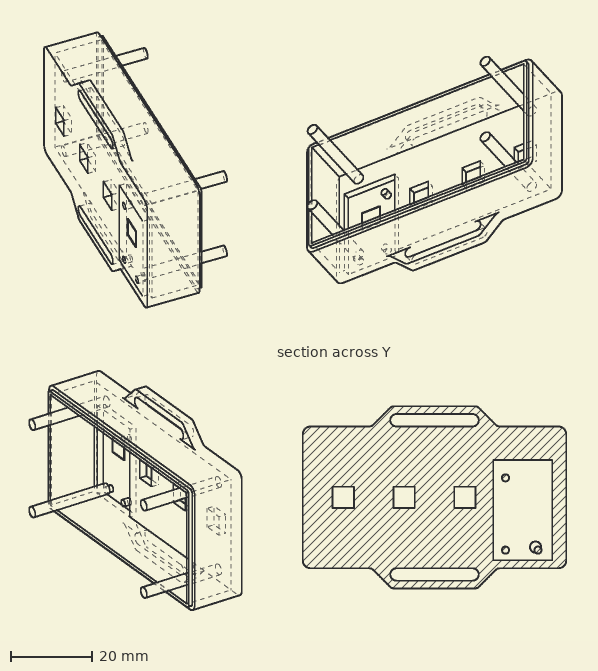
import cadquery as cq

case_length = 65.0
case_height = 35.0
case_depth = 14.0
case_corner_radius = 2.0
side_wall = 2.0
front_wall = 2.0

lip_inset = 1.1
lip_depth = 1.0

window_size = 5.2
window_pitch = 15.0
window_count = 4

lug_rise = 5.0
lug_thickness = 3.0
lug_tip_half_width = 10.5
lug_corner_radius = 1.5
slot_length = 21.75
slot_height = 3.0

pin_diameter = 2.8
pin_spacing_x = 49.8
pin_spacing_z = 24.5
pin_protrusion = 9.0

pocket_left = 14.5
pocket_right = 29.0
pocket_top = 9.2
pocket_skin = 0.2

peg_diameter = 1.8
peg_left_x = 17.5
peg_right_x = 25.5
peg_top_z = 4.8
peg_bottom_z = -13.0

half_height = case_height / 2
lip_end = case_depth + lip_depth
pin_end = lip_end + pin_protrusion
lug_tip_z = half_height + lug_rise
lug_base_half_width = lug_tip_half_width + lug_rise
cavity_length = case_length - 2 * side_wall
cavity_height = case_height - 2 * side_wall
pocket_bottom = -cavity_height / 2


def front_plane(depth):
    """XZ sketch plane at a given depth behind the front face.

    Its normal points toward -Y, so a negative extrusion runs toward the back.
    """
    return cq.Workplane("XZ", origin=(0, depth, 0))


def rounded_block(length, height, radius, start, end):
    """Block from depth start to depth end, with its four long edges rounded."""
    block = front_plane(start).rect(length, height).extrude(start - end)
    return block.edges("|Y").fillet(radius)


def make_case():
    body = rounded_block(case_length, case_height, case_corner_radius, 0, case_depth)
    lip = rounded_block(
        case_length - 2 * lip_inset,
        case_height - 2 * lip_inset,
        case_corner_radius - lip_inset,
        case_depth,
        lip_end,
    )
    return body.union(lip)


def make_lugs():
    """One plate across the case front; its ends stand out as the two lugs."""
    plate_half_width = case_length / 2 - case_corner_radius
    right_half = [
        (lug_tip_half_width, lug_tip_z),
        (lug_base_half_width, half_height),
        (plate_half_width, half_height),
        (plate_half_width, -half_height),
        (lug_base_half_width, -half_height),
        (lug_tip_half_width, -lug_tip_z),
    ]
    left_half = [(-x, z) for x, z in reversed(right_half)]
    plate = front_plane(0).polyline(right_half + left_half).close().extrude(-lug_thickness)
    margin = 1.0
    lug_region = cq.selectors.BoxSelector(
        (-lug_base_half_width - margin, -margin, -lug_tip_z - margin),
        (lug_base_half_width + margin, lug_thickness + margin, lug_tip_z + margin),
    )
    return plate.edges("|Y").edges(lug_region).fillet(lug_corner_radius)


def make_strap_slots():
    slot_z = half_height + slot_height / 2
    return (
        front_plane(0)
        .pushPoints([(0, slot_z), (0, -slot_z)])
        .slot2D(slot_length, slot_height)
        .extrude(-lug_thickness)
    )


def make_cavity():
    return front_plane(front_wall).rect(cavity_length, cavity_height).extrude(front_wall - lip_end)


def make_windows():
    return (
        front_plane(0)
        .rarray(window_pitch, 1, window_count, 1)
        .rect(window_size, window_size)
        .extrude(-front_wall)
    )


def make_pocket():
    return (
        front_plane(pocket_skin)
        .center((pocket_left + pocket_right) / 2, (pocket_bottom + pocket_top) / 2)
        .rect(pocket_right - pocket_left, pocket_top - pocket_bottom)
        .extrude(pocket_skin - front_wall)
    )


def make_pegs():
    """Three pegs, level with the inner face of the front wall."""
    peg_points = [
        (peg_left_x, peg_top_z),
        (peg_left_x, peg_bottom_z),
        (peg_right_x, peg_bottom_z),
    ]
    return (
        front_plane(pocket_skin)
        .pushPoints(peg_points)
        .circle(peg_diameter / 2)
        .extrude(pocket_skin - front_wall)
    )


def make_pins():
    """Four pins; the one over the pocket stands on the peg below it."""
    return (
        front_plane(front_wall)
        .rarray(pin_spacing_x, pin_spacing_z, 2, 2)
        .circle(pin_diameter / 2)
        .extrude(front_wall - pin_end)
    )


result = make_case().union(make_lugs())
for opening in (make_strap_slots(), make_cavity(), make_windows(), make_pocket()):
    result = result.cut(opening)
result = result.union(make_pegs()).union(make_pins())